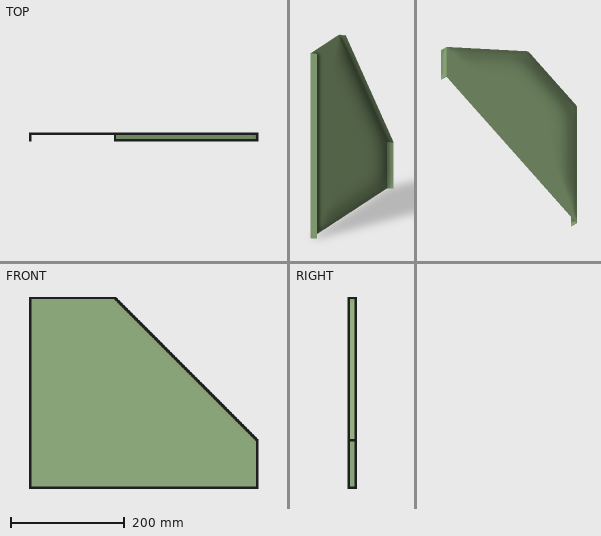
import cadquery as cq
import math

width = 400.0
height = 334.39
depth = 12.5

sheet = 0.75
nominal_top_edge = 150.0

slope_angle = 45.0

corner_setback = sheet * math.tan(math.radians(slope_angle / 2))
top_edge = nominal_top_edge - corner_setback
right_edge = height - (width - top_edge)

right_flange_height = right_edge - corner_setback


def extrude_forward(points, length):
    """Extrude an XZ outline from the back face (y = 0) toward -Y."""
    return cq.Workplane("XZ").polyline(points).close().extrude(length)


def panel():
    """Flat sheet with one corner cut at 45 degrees."""
    outline = [
        (0, 0),
        (width, 0),
        (width, right_edge),
        (top_edge, height),
        (0, height),
    ]
    return extrude_forward(outline, sheet)


def upright_flange(left, flange_height):
    """Flange folded forward along a vertical edge, starting at the bottom of the panel."""
    outline = [
        (left, 0),
        (left + sheet, 0),
        (left + sheet, flange_height),
        (left, flange_height),
    ]
    return extrude_forward(outline, depth)


def sloped_flange():
    """Flange folded forward along the 45 degree edge, with ends cut square to that edge."""
    inward = sheet * math.sin(math.radians(slope_angle))
    outline = [
        (top_edge, height),
        (width, right_edge),
        (width - inward, right_edge - inward),
        (top_edge - inward, height - inward),
    ]
    return extrude_forward(outline, depth)


result = (
    panel()
    .union(upright_flange(0, height))
    .union(upright_flange(width - sheet, right_flange_height))
    .union(sloped_flange())
)